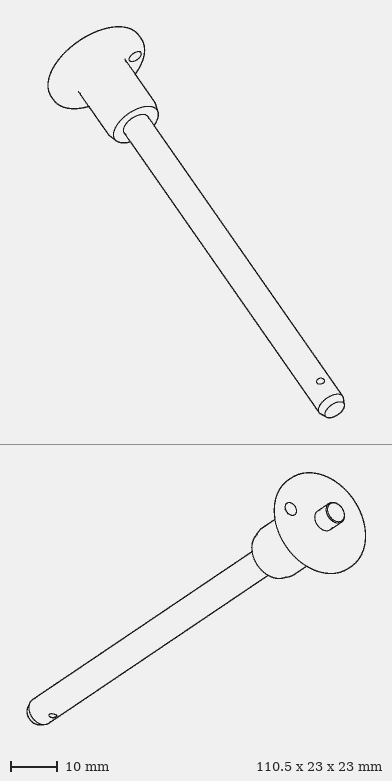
import cadquery as cq
import math

pin_length = 110.5
flange_start = 4.4
flange_thickness = 3.0
collar_end = 23.3
ball_x = 104.3

flange_radius = 11.5
rim_fillet = 1.0
collar_radius = 6.1
collar_root_fillet = 1.0
collar_chamfer_length = 2.0
collar_chamfer_depth = 0.5
lanyard_hole_diameter = 3.0
lanyard_hole_offset = 8.7

button_radius = 2.4
button_chamfer = 0.2

shank_radius = 3.1
tip_chamfer_length = 1.7
tip_chamfer_depth = 0.7
ball_protrusion = 0.3
ball_rim_radius = 0.8


def disc(radius, start, end):
    """Cylinder on the X axis between two positions."""
    return cq.Workplane("YZ", origin=(start, 0, 0)).circle(radius).extrude(end - start)


def make_button():
    button = disc(button_radius, 0, flange_start)
    return button.faces("<X").chamfer(button_chamfer)


def make_handle():
    flange_end = flange_start + flange_thickness
    rim_start = flange_start + rim_fillet
    rim_end = flange_end - rim_fillet
    flat_radius = flange_radius - rim_fillet
    root_radius = collar_radius + collar_root_fillet
    root_end = flange_end + collar_root_fillet
    arc_45 = math.sqrt(0.5)
    rim_bulge = rim_fillet * arc_45
    root_hollow = collar_root_fillet * arc_45
    profile = (
        cq.Workplane("XY")
        .moveTo(flange_start, 0)
        .lineTo(flange_start, flat_radius)
        .threePointArc((rim_start - rim_bulge, flat_radius + rim_bulge), (rim_start, flange_radius))
        .lineTo(rim_end, flange_radius)
        .threePointArc((rim_end + rim_bulge, flat_radius + rim_bulge), (flange_end, flat_radius))
        .lineTo(flange_end, root_radius)
        .threePointArc((root_end - root_hollow, root_radius - root_hollow), (root_end, collar_radius))
        .lineTo(collar_end - collar_chamfer_length, collar_radius)
        .lineTo(collar_end, collar_radius - collar_chamfer_depth)
        .lineTo(collar_end, 0)
        .close()
    )
    handle = profile.revolve(360, (0, 0, 0), (1, 0, 0))
    lanyard_hole = (
        cq.Workplane("YZ", origin=(flange_start, lanyard_hole_offset, 0))
        .circle(lanyard_hole_diameter / 2)
        .extrude(flange_thickness)
    )
    return handle.cut(lanyard_hole)


def make_shank():
    """Shank with a fixed ball standing out above and below near its tip."""
    shank = (
        cq.Workplane("XY")
        .moveTo(collar_end, 0)
        .lineTo(collar_end, shank_radius)
        .lineTo(pin_length - tip_chamfer_length, shank_radius)
        .lineTo(pin_length, shank_radius - tip_chamfer_depth)
        .lineTo(pin_length, 0)
        .close()
        .revolve(360, (0, 0, 0), (1, 0, 0))
    )
    ball_radius = (ball_rim_radius**2 + ball_protrusion**2) / (2 * ball_protrusion)
    ball_height = shank_radius + ball_protrusion - ball_radius
    for side in (1, -1):
        ball = cq.Workplane("XY", origin=(ball_x, 0, side * ball_height)).sphere(ball_radius)
        shank = shank.union(ball)
    return shank


button = make_button()
handle = make_handle()
shank = make_shank()

result = cq.Compound.makeCompound([button.val(), handle.val(), shank.val()])